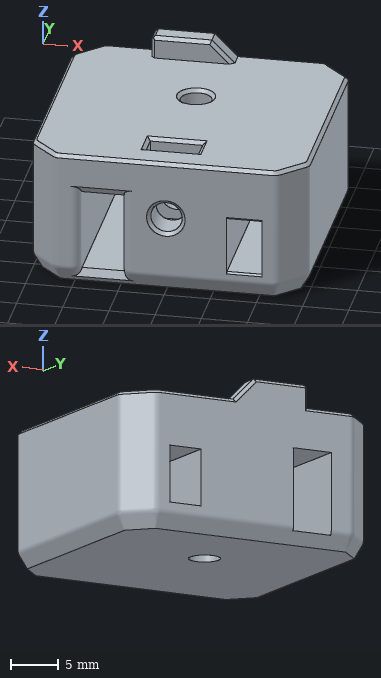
import cadquery as cq
import math

WIDTH = 30.0
DEPTH = 28.0
BODY_HEIGHT = 15.0
FRONT = -DEPTH / 2
BACK = DEPTH / 2
CORNER_CUT = 3.0
CORNER_ROUND = 1.02
EDGE_CHAMFER = 0.4

SKIRT_INSET = 1.0
SKIRT_ANGLE = math.radians(30)
SKIRT_HEIGHT = SKIRT_INSET / math.tan(SKIRT_ANGLE)
SKIRT_ROUND = 1.0

TAB_HEIGHT = 2.5
TAB_LEFT = -6.5
TAB_RAMP_START = 0.0
TAB_THICKNESS = 2.5
TAB_ROOT = 1.5

WINDOW_MIDDLE = 5.9
WIDE_WINDOW_X = -7.0
WIDE_WINDOW_WIDTH = 4.6
WIDE_WINDOW_HEIGHT = 9.0
FLARE = 1.0
FLARE_DROP = FLARE * math.cos(SKIRT_ANGLE)
SMALL_WINDOW_X = 8.5
SMALL_WINDOW_WIDTH = 3.8
SMALL_WINDOW_HEIGHT = 6.2
SMALL_WINDOW_CHAMFER = 0.2

BORE_DIAMETER = 3.4
TOP_HOLE_Y = 3.0
FRONT_HOLE_Z = 8.52
FRONT_HOLE_DEPTH = 10.0
NUT_WIDTH = 5.67
NUT_THICKNESS = 2.67
NUT_POCKET_Y = -9.35
NUT_POCKET_FLOOR = FRONT_HOLE_Z - NUT_WIDTH / 2

PICK_MARGIN = 0.03


def make_body():
    body = (
        cq.Workplane("XY")
        .rect(WIDTH, DEPTH)
        .extrude(BODY_HEIGHT)
        .edges("|Z")
        .chamfer(CORNER_CUT)
        .edges("|Z")
        .fillet(CORNER_ROUND)
    )
    body = body.faces(">Z").edges().chamfer(EDGE_CHAMFER)
    body = body.faces("<Z").chamfer(SKIRT_HEIGHT, SKIRT_INSET)
    skirt_top = cq.selectors.BoxSelector(
        (-WIDTH, -DEPTH, SKIRT_HEIGHT - PICK_MARGIN),
        (WIDTH, DEPTH, SKIRT_HEIGHT + PICK_MARGIN),
    )
    return body.edges(skirt_top).fillet(SKIRT_ROUND)


def make_tab():
    top = BODY_HEIGHT + TAB_HEIGHT
    root = BODY_HEIGHT - TAB_ROOT
    ramp_end = TAB_RAMP_START + TAB_HEIGHT + TAB_ROOT
    tab = (
        cq.Workplane("XZ", origin=(0, BACK, 0))
        .moveTo(TAB_LEFT, root)
        .lineTo(ramp_end, root)
        .lineTo(TAB_RAMP_START, top)
        .lineTo(TAB_LEFT, top)
        .close()
        .extrude(TAB_THICKNESS)
    )
    tab = tab.faces("<Y or >Y").edges("not <Z").chamfer(EDGE_CHAMFER)
    return tab.faces("<X").edges(">Z").chamfer(EDGE_CHAMFER)


def slot_block(x_middle, width, z_low, z_high):
    """Box through the whole depth of the body, between two heights."""
    return (
        cq.Workplane("XY")
        .box(width, DEPTH, z_high - z_low, centered=(True, True, False))
        .translate((x_middle, 0, z_low))
    )


def make_wide_window(body):
    """Window whose front mouth has rounded sides and a bevelled top and bottom."""
    low = WINDOW_MIDDLE - WIDE_WINDOW_HEIGHT / 2
    high = WINDOW_MIDDLE + WIDE_WINDOW_HEIGHT / 2
    mouth_low = low - FLARE_DROP
    mouth_high = high + FLARE

    tall_slot = slot_block(WIDE_WINDOW_X, WIDE_WINDOW_WIDTH, mouth_low, mouth_high)
    side_edges = cq.selectors.BoxSelector(
        (WIDE_WINDOW_X - WIDE_WINDOW_WIDTH, FRONT - PICK_MARGIN, mouth_low + PICK_MARGIN),
        (WIDE_WINDOW_X + WIDE_WINDOW_WIDTH, FRONT + SKIRT_INSET, mouth_high - PICK_MARGIN),
    )
    rounded = body.cut(tall_slot).edges(side_edges).fillet(FLARE)
    removed = body.cut(rounded)

    skirt_y = FRONT + (SKIRT_HEIGHT - low) * math.tan(SKIRT_ANGLE)
    mouth_low_y = skirt_y + FLARE_DROP * math.tan(SKIRT_ANGLE)
    height_profile = (
        cq.Workplane("YZ")
        .moveTo(FRONT, mouth_low)
        .lineTo(mouth_low_y, mouth_low)
        .lineTo(skirt_y + FLARE, low)
        .lineTo(BACK, low)
        .lineTo(BACK, high)
        .lineTo(FRONT + FLARE, high)
        .lineTo(FRONT, mouth_high)
        .close()
        .extrude(WIDTH / 2, both=True)
    )
    return removed.intersect(height_profile)


def make_small_window():
    """Plain window with a small bevel above and below its front mouth."""
    low = WINDOW_MIDDLE - SMALL_WINDOW_HEIGHT / 2
    high = WINDOW_MIDDLE + SMALL_WINDOW_HEIGHT / 2
    window = slot_block(SMALL_WINDOW_X, SMALL_WINDOW_WIDTH, low, high)
    bevel = (
        cq.Workplane("YZ", origin=(SMALL_WINDOW_X, 0, 0))
        .moveTo(FRONT, low - SMALL_WINDOW_CHAMFER)
        .lineTo(FRONT + SMALL_WINDOW_CHAMFER, low)
        .lineTo(FRONT + SMALL_WINDOW_CHAMFER, high)
        .lineTo(FRONT, high + SMALL_WINDOW_CHAMFER)
        .close()
        .extrude(SMALL_WINDOW_WIDTH / 2, both=True)
    )
    return window.union(bevel)


def make_top_hole():
    """Upright through hole with a bevelled upper rim."""
    radius = BORE_DIAMETER / 2
    rim = radius + EDGE_CHAMFER
    return (
        cq.Workplane("XZ", origin=(0, TOP_HOLE_Y, 0))
        .polyline(
            [
                (0, 0),
                (radius, 0),
                (radius, BODY_HEIGHT - EDGE_CHAMFER),
                (rim, BODY_HEIGHT),
                (0, BODY_HEIGHT),
            ]
        )
        .close()
        .revolve(360, (0, 0, 0), (0, 1, 0))
    )


def make_front_hole():
    """Blind hole from the front, bevelled at its mouth and around its end."""
    radius = BORE_DIAMETER / 2
    end = FRONT + FRONT_HOLE_DEPTH
    return (
        cq.Workplane("XY", origin=(0, 0, FRONT_HOLE_Z))
        .polyline(
            [
                (0, FRONT),
                (radius + EDGE_CHAMFER, FRONT),
                (radius, FRONT + EDGE_CHAMFER),
                (radius, end - EDGE_CHAMFER),
                (radius - EDGE_CHAMFER, end),
                (0, end),
            ]
        )
        .close()
        .revolve(360, (0, 0, 0), (0, 1, 0))
    )


def make_nut_pocket():
    """Pocket dropped from the top face, bevelled all round its mouth."""
    mouth_width = NUT_WIDTH + 2 * EDGE_CHAMFER
    mouth_thickness = NUT_THICKNESS + 2 * EDGE_CHAMFER
    mouth = (
        cq.Workplane("XY", origin=(0, NUT_POCKET_Y, BODY_HEIGHT))
        .rect(mouth_width, mouth_thickness)
        .extrude(-EDGE_CHAMFER, taper=45)
    )
    pocket = (
        cq.Workplane("XY", origin=(0, NUT_POCKET_Y, NUT_POCKET_FLOOR))
        .rect(NUT_WIDTH, NUT_THICKNESS)
        .extrude(BODY_HEIGHT - NUT_POCKET_FLOOR)
    )
    return pocket.union(mouth)


body = make_body()
result = (
    body.union(make_tab())
    .cut(make_wide_window(body))
    .cut(make_small_window())
    .cut(make_top_hole())
    .cut(make_front_hole())
    .cut(make_nut_pocket())
)